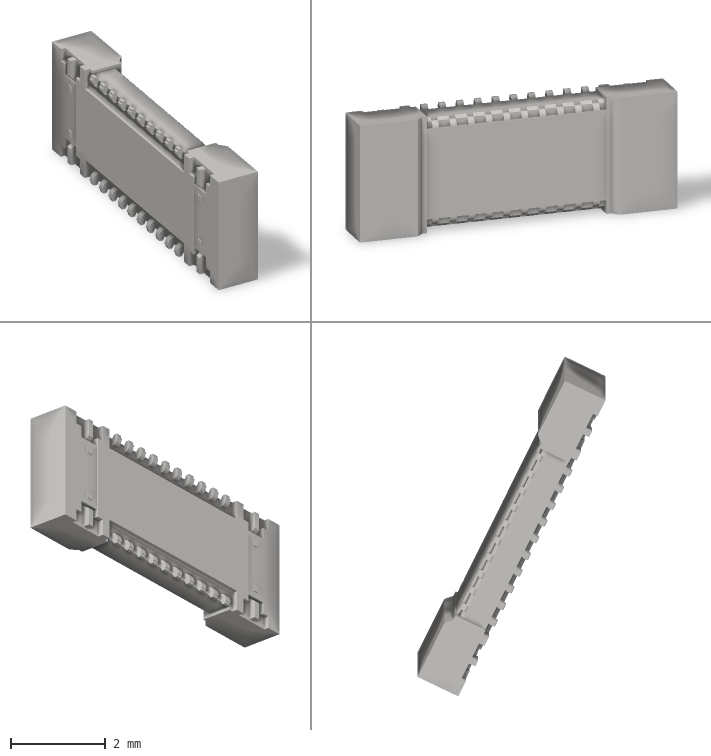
import cadquery as cq

LENGTH = 7.1
DEPTH = 1.0
HEIGHT = 2.6
TOP = HEIGHT / 2

END_FACE_Y = 0.04
PLATE_FACE_Y = 0.02
PLATE_HALF_LENGTH = 2.5
FLOOR_Y = 0.15
BLOCK_INNER_X = 2.01
BLOCK_SHOULDER_X = 2.115
BLOCK_CHAMFER = 0.14
BAR_BACK_Y = 0.84
BAR_TOP = 1.215
BAR_CHAMFER = 0.065
BAR_CHAMFER_START_Y = 0.69

RECESS_HALF_LENGTH = BLOCK_SHOULDER_X
RECESS_WALL_Z = 0.85
RECESS_ROOT_Z = 0.9
RECESS_SLOPE_Y = 0.1

NOTCH_OUTER_X = 3.175
NOTCH_OUTER_Z = 1.02
NOTCH_STEP_X = 3.02
NOTCH_DEEP_Z = 0.76
NOTCH_INNER_X = 2.33
NOTCH_INNER_Z = 0.94
PAD_X = 2.75
PAD_WIDTH = 0.14
PAD_OUTER_Z = 1.26
PAD_SLOPE_Z = 0.865
BUMP_Z = 0.54
BUMP_HEIGHT_Z = 0.15

CONTACTS_PER_ROW = 10
CONTACT_PITCH = 0.4
CONTACT_WIDTH = 0.14
TAIL_BEND_Y = 0.01
TAIL_RADIUS = FLOOR_Y - TAIL_BEND_Y
TAIL_FLAT_BOTTOM_Z = 1.185
TAIL_FLAT_TOP_Z = 1.235
TAIL_TIP_Y = 0.02
TAIL_TIP_BOTTOM_Z = 1.25
TAIL_TIP_BACK_Y = 0.1
HEAD_TOP = BAR_TOP - BAR_CHAMFER
HEAD_RADIUS = BAR_BACK_Y - BAR_CHAMFER_START_Y
HEAD_BOTTOM = HEAD_TOP - HEAD_RADIUS

EMBED = 0.035


def box(x0, x1, y0, y1, z0, z1):
    """Box between opposite corners."""
    return cq.Workplane("XY").box(x1 - x0, y1 - y0, z1 - z0, centered=False).translate((x0, y0, z0))


def side_profile(x_middle, width):
    """Sketch plane whose local axes are Y and Z, for shapes of the given width along X."""
    return cq.Workplane("YZ", origin=(x_middle - width / 2, 0, 0))


def with_mirror(shape, plane):
    """The shape together with its mirror image."""
    return shape.union(shape.mirror(plane))


def make_end_block():
    """End block on the +X side, chamfered where it drops towards the middle bar."""
    shoulder_y = DEPTH - BLOCK_CHAMFER
    return (
        cq.Workplane("XY", origin=(0, 0, -TOP))
        .moveTo(BLOCK_INNER_X, PLATE_FACE_Y)
        .lineTo(PLATE_HALF_LENGTH, PLATE_FACE_Y)
        .lineTo(PLATE_HALF_LENGTH, END_FACE_Y)
        .lineTo(LENGTH / 2, END_FACE_Y)
        .lineTo(LENGTH / 2, DEPTH)
        .lineTo(BLOCK_SHOULDER_X + BLOCK_CHAMFER, DEPTH)
        .lineTo(BLOCK_SHOULDER_X, shoulder_y)
        .lineTo(BLOCK_INNER_X, shoulder_y)
        .close()
        .extrude(HEIGHT)
    )


def make_bar():
    """Middle bar, its long back edges chamfered and stepped in to the foot of the contact heads."""
    slope_end_y = BAR_CHAMFER_START_Y + BAR_CHAMFER
    half_profile = (
        side_profile(0, 2 * BLOCK_INNER_X)
        .moveTo(PLATE_FACE_Y, 0)
        .lineTo(PLATE_FACE_Y, BAR_TOP)
        .lineTo(BAR_CHAMFER_START_Y, BAR_TOP)
        .lineTo(slope_end_y, BAR_TOP - BAR_CHAMFER)
        .lineTo(slope_end_y, HEAD_BOTTOM)
        .lineTo(BAR_BACK_Y, HEAD_BOTTOM)
        .lineTo(BAR_BACK_Y, 0)
        .close()
    )
    return with_mirror(half_profile.extrude(2 * BLOCK_INNER_X), "XY")


def make_recess():
    """Cutter for the recess along the top front edge, with a sloped root."""
    return (
        side_profile(0, 2 * RECESS_HALF_LENGTH)
        .moveTo(0, RECESS_WALL_Z)
        .lineTo(RECESS_SLOPE_Y, RECESS_WALL_Z)
        .lineTo(FLOOR_Y, RECESS_ROOT_Z)
        .lineTo(FLOOR_Y, TOP)
        .lineTo(0, TOP)
        .close()
        .extrude(2 * RECESS_HALF_LENGTH)
    )


def make_notch():
    """Cutter for the stepped notch in the upper +X corner."""
    outer = box(NOTCH_STEP_X, NOTCH_OUTER_X, 0, FLOOR_Y, NOTCH_OUTER_Z, TOP)
    middle = box(PLATE_HALF_LENGTH, NOTCH_STEP_X, 0, FLOOR_Y, NOTCH_DEEP_Z, TOP)
    inner = box(NOTCH_INNER_X, PLATE_HALF_LENGTH, 0, FLOOR_Y, NOTCH_INNER_Z, TOP)
    return outer.union(middle).union(inner)


def make_pad():
    """Solder pad standing in the upper +X notch, sloping down to the notch floor."""
    return (
        side_profile(PAD_X, PAD_WIDTH)
        .moveTo(0, PAD_OUTER_Z)
        .lineTo(0, PAD_SLOPE_Z)
        .lineTo(FLOOR_Y, NOTCH_DEEP_Z)
        .lineTo(FLOOR_Y + EMBED, NOTCH_DEEP_Z)
        .lineTo(FLOOR_Y + EMBED, PAD_OUTER_Z)
        .close()
        .extrude(PAD_WIDTH)
    )


def make_bump():
    """Small raised rectangle on the end face, level with the plate."""
    half_width = PAD_WIDTH / 2
    half_height = BUMP_HEIGHT_Z / 2
    return box(
        PAD_X - half_width,
        PAD_X + half_width,
        PLATE_FACE_Y,
        END_FACE_Y + EMBED,
        BUMP_Z - half_height,
        BUMP_Z + half_height,
    )


def make_tail(x):
    """Rounded solder tail of a top-row contact, standing on the recess floor."""
    bend_end_z = TAIL_FLAT_BOTTOM_Z - TAIL_RADIUS
    return (
        side_profile(x, CONTACT_WIDTH)
        .moveTo(FLOOR_Y + EMBED, bend_end_z)
        .lineTo(FLOOR_Y, bend_end_z)
        .radiusArc((TAIL_BEND_Y, TAIL_FLAT_BOTTOM_Z), TAIL_RADIUS)
        .lineTo(0, TAIL_FLAT_BOTTOM_Z)
        .lineTo(0, TAIL_FLAT_TOP_Z)
        .lineTo(TAIL_TIP_Y, TAIL_TIP_BOTTOM_Z)
        .lineTo(TAIL_TIP_Y, TOP)
        .lineTo(TAIL_TIP_BACK_Y, TOP)
        .lineTo(FLOOR_Y, BAR_TOP)
        .lineTo(FLOOR_Y + EMBED, BAR_TOP)
        .close()
        .extrude(CONTACT_WIDTH)
    )


def make_head(x):
    """Rounded mating end of a top-row contact, behind the bar's long back edge."""
    return (
        side_profile(x, CONTACT_WIDTH)
        .moveTo(BAR_CHAMFER_START_Y, HEAD_TOP)
        .radiusArc((BAR_BACK_Y, HEAD_BOTTOM), HEAD_RADIUS)
        .lineTo(BAR_CHAMFER_START_Y, HEAD_BOTTOM)
        .close()
        .extrude(CONTACT_WIDTH)
    )


def make_head_slot(x):
    """Cutter that clears the bar's chamfer above the head of a top-row contact."""
    half_width = CONTACT_WIDTH / 2
    return box(x - half_width, x + half_width, BAR_CHAMFER_START_Y, BAR_BACK_Y, HEAD_BOTTOM, BAR_TOP)


result = make_bar().union(with_mirror(make_end_block(), "YZ"))
result = result.cut(with_mirror(make_recess(), "XY"))
result = result.cut(with_mirror(with_mirror(make_notch(), "YZ"), "XY"))

corner_details = make_pad().union(make_bump())
result = result.union(with_mirror(with_mirror(corner_details, "YZ"), "XY"))

for index in range(CONTACTS_PER_ROW):
    contact_x = (index - (CONTACTS_PER_ROW - 1) / 2) * CONTACT_PITCH
    result = result.cut(with_mirror(make_head_slot(contact_x), "XY"))
    contact = make_tail(contact_x).union(make_head(contact_x))
    result = result.union(with_mirror(contact, "XY"))